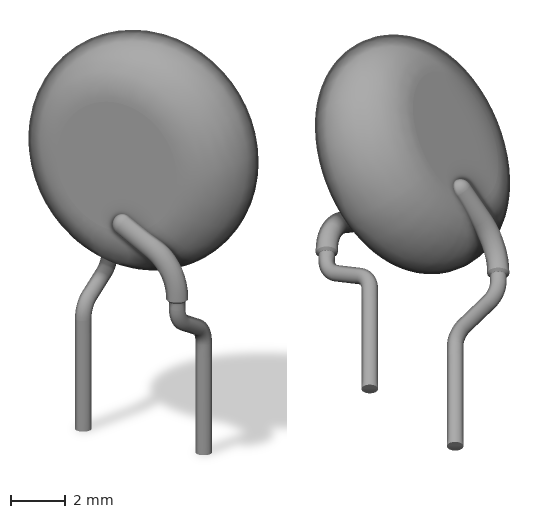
import cadquery as cq
import math

disc_radius = 4.5
disc_thickness = 4.0
face_y = disc_thickness / 2
rim_radius = face_y
flat_radius = disc_radius - rim_radius

sleeve_radius = 0.8 / 2
sleeve_bottom_z = -4.75
sleeve_chamfer = 0.1
sleeve_bend_start_z = -4.61
sleeve_bend_radius = 2.0
sleeve_bend_angle = math.radians(60)
sleeve_arm_length = 1.4

wire_radius = 0.6 / 2
wire_pitch = 5.0
wire_x = wire_pitch / 2
lead_bend_radius = 0.8
upper_bend_z = -5.0
lower_bend_z = -7.0
pin_top_z = -7.5
overall_height = 15.79
pin_bottom_z = disc_radius - overall_height


def make_disc():
    """Revolve half of the rounded cross-section about the Y axis."""
    return (
        cq.Workplane("XY")
        .moveTo(0, -face_y)
        .lineTo(flat_radius, -face_y)
        .threePointArc((disc_radius, 0), (flat_radius, face_y))
        .lineTo(0, face_y)
        .close()
        .revolve(360, (0, 0, 0), (0, 1, 0))
    )


def make_sleeve():
    """Sleeve on the -Y face: chamfered foot, bend toward the middle, straight arm and round tip."""
    bend_centre_x = wire_x - sleeve_bend_radius

    def bend_point(angle):
        return (
            bend_centre_x + sleeve_bend_radius * math.cos(angle),
            sleeve_bend_start_z + sleeve_bend_radius * math.sin(angle),
        )

    bend_end_x, bend_end_z = bend_point(sleeve_bend_angle)
    tip_x = bend_end_x - sleeve_arm_length * math.sin(sleeve_bend_angle)
    tip_z = bend_end_z + sleeve_arm_length * math.cos(sleeve_bend_angle)
    path = (
        cq.Workplane("XZ", origin=(0, -face_y, 0))
        .moveTo(wire_x, sleeve_bottom_z)
        .lineTo(wire_x, sleeve_bend_start_z)
        .threePointArc(bend_point(sleeve_bend_angle / 2), (bend_end_x, bend_end_z))
        .lineTo(tip_x, tip_z)
    )
    tube = (
        cq.Workplane("XY", origin=(wire_x, -face_y, sleeve_bottom_z))
        .circle(sleeve_radius)
        .sweep(path)
        .faces("<Z")
        .chamfer(sleeve_chamfer)
    )
    tip = cq.Workplane("XY", origin=(tip_x, -face_y, tip_z)).sphere(sleeve_radius)
    return tube.union(tip)


def make_lead():
    """Lead under the -Y sleeve: an S-bend brings it to the middle plane, where the pin takes over."""
    upper_centre_y = -face_y + lead_bend_radius
    lower_centre_y = -lead_bend_radius
    centre_step_y = lower_centre_y - upper_centre_y
    centre_drop = upper_bend_z - lower_bend_z
    centre_distance = math.hypot(centre_step_y, centre_drop)
    bend_angle = math.atan2(centre_step_y, centre_drop) + math.asin(2 * lead_bend_radius / centre_distance)

    def upper_point(angle):
        return (
            upper_centre_y - lead_bend_radius * math.cos(angle),
            upper_bend_z - lead_bend_radius * math.sin(angle),
        )

    def lower_point(angle):
        return (
            lower_centre_y + lead_bend_radius * math.cos(angle),
            lower_bend_z + lead_bend_radius * math.sin(angle),
        )

    path = (
        cq.Workplane("YZ", origin=(wire_x, 0, 0))
        .moveTo(-face_y, sleeve_bottom_z)
        .lineTo(-face_y, upper_bend_z)
        .threePointArc(upper_point(bend_angle / 2), upper_point(bend_angle))
        .lineTo(*lower_point(bend_angle))
        .threePointArc(lower_point(bend_angle / 2), (0, lower_bend_z))
        .lineTo(0, pin_top_z)
    )
    return (
        cq.Workplane("XY", origin=(wire_x, -face_y, sleeve_bottom_z))
        .circle(wire_radius)
        .sweep(path)
    )


def make_pin():
    """Straight pin under the +X lead, on the middle plane."""
    return (
        cq.Workplane("XY", origin=(wire_x, 0, pin_bottom_z))
        .circle(wire_radius)
        .extrude(pin_top_z - pin_bottom_z)
    )


body = make_disc()
leads = []
pins = []
for turn in (0, 180):
    body = body.union(make_sleeve().rotate((0, 0, 0), (0, 0, 1), turn))
    leads.append(make_lead().rotate((0, 0, 0), (0, 0, 1), turn).val())
    pins.append(make_pin().rotate((0, 0, 0), (0, 0, 1), turn).val())

result = cq.Compound.makeCompound([body.solids().val(), *leads, *pins])